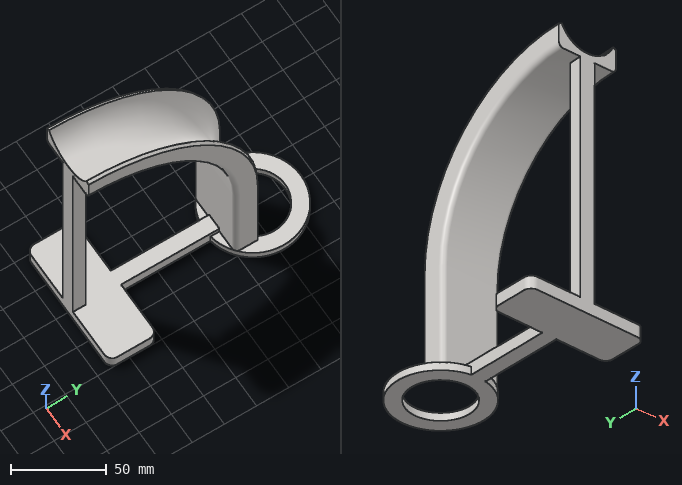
import cadquery as cq
import math

total_height = 171.2
total_depth = 145.0
bore_radius = 20.0
ring_radius = 30.0
ring_thickness = 5.0
base_width = 80.0
base_depth = 30.0
base_thickness = 8.0
base_corner_radius = 5.0
bar_width = 10.0
post_depth = 8.0
lip_half_span = 18.0
web_thickness = 4.0
arch_fillet = 3.0

ring_center_y = total_depth - ring_radius
arch_half_width = bore_radius
trough_bottom_y = ring_center_y - bore_radius
arch_inner_y = trough_bottom_y - web_thickness
lip_drop = math.sqrt(bore_radius**2 - lip_half_span**2)
lip_y = ring_center_y - lip_drop
side_top_y = ring_center_y - lip_drop * arch_half_width / lip_half_span
bend_height = total_height - lip_y
web_middle_y = arch_inner_y + web_thickness / 2


def arch_profile(height):
    """Trough cross-section lying in the horizontal plane at the given height."""
    blank = (
        cq.Workplane("XY", origin=(0, 0, height))
        .moveTo(-lip_half_span, lip_y)
        .threePointArc((0, trough_bottom_y), (lip_half_span, lip_y))
        .lineTo(arch_half_width, side_top_y)
        .lineTo(arch_half_width, arch_inner_y + arch_fillet)
        .radiusArc((arch_half_width - arch_fillet, arch_inner_y), arch_fillet)
        .lineTo(-arch_half_width + arch_fillet, arch_inner_y)
        .radiusArc((-arch_half_width, arch_inner_y + arch_fillet), arch_fillet)
        .lineTo(-arch_half_width, side_top_y)
        .close()
    )
    return blank


def make_arch():
    """Upright trough followed by a quarter bend that ends in the front plane."""
    upright = arch_profile(ring_thickness).extrude(bend_height - ring_thickness)
    bend = arch_profile(bend_height).revolve(90, (0, 0, 0), (1, 0, 0))
    return upright.union(bend)


def make_ring():
    return (
        cq.Workplane("XY", origin=(0, ring_center_y, 0))
        .circle(ring_radius)
        .circle(bore_radius)
        .extrude(ring_thickness)
    )


def make_base():
    return (
        cq.Workplane("XY")
        .box(base_width, base_depth, base_thickness, centered=(True, False, False))
        .edges("|Z")
        .fillet(base_corner_radius)
    )


def make_bar(depth, height):
    """Bar standing on the floor with its front face in the front plane."""
    return cq.Workplane("XY").box(bar_width, depth, height, centered=(True, False, False))


post = make_bar(post_depth, bend_height + web_middle_y)
link = make_bar(web_middle_y, base_thickness)

result = make_arch().union(make_ring()).union(make_base()).union(post).union(link)